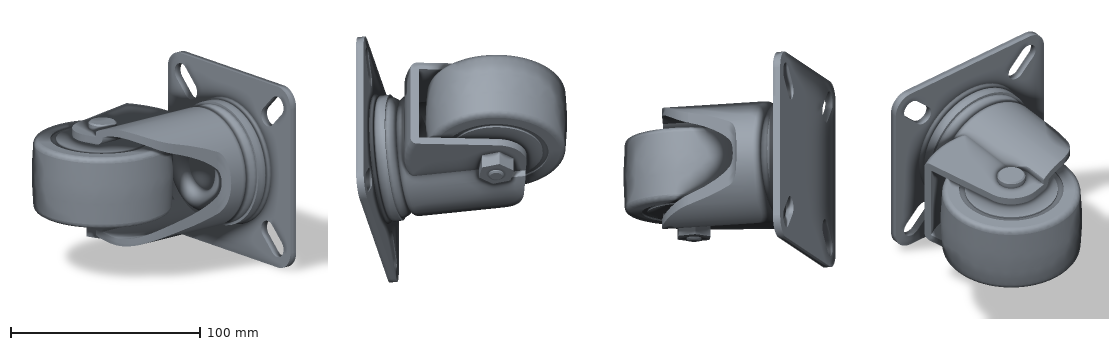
import cadquery as cq
import math


sheet = 4.0
axle_x = -25.0
axle_depth = 70.7
stem_radius = 24.6

plate_size = 100.0
plate_corner_radius = 10.0
slot_radius = 5.3
slot_inner = 31.5
slot_outer = 39.1
boss_radius = 34.4
boss_height = 1.8
boss_rounding = 1.7
flare_centre_radius = 18.4

cap_gap = 0.5
cap_radius = 33.5
cap_sheet = 1.3
cap_height = 6.0

tube_radius = 32.0
neck_radius = 28.7
neck_depth = 17.4
head_straight_depth = 12.3
tube_top_depth = neck_depth + sheet
tube_shoulder_depth = 29.8
shoulder_radius = 8.0

cheek_end_radius = 16.1
front_lean = 12.9
rear_lean = 15.5
foot_slope = 14.7
rear_edge_x = 27.0
rear_edge_depth = 35.3
heel_radius = 30.0

cheek_outer = 25.5
cheek_inner = cheek_outer - sheet
web_inner_radius = 44.6
web_outer_radius = web_inner_radius + sheet
bend_radius = 3.4

recess_half_width = 10.9
recess_bend_radius = 8.0
recess_bend_drop = 1.3
recess_lean = 33.7
recess_upper_length = 11.2
recess_wall = 2.2
recess_flare = 2.5
recess_reach = 6.7

wheel_radius = 37.4
wheel_edge_radius = 36.4
wheel_half_width = 19.6
wheel_rounding = 2.9
groove_outer_radius = 27.7
groove_inner_radius = 24.6
groove_depth = 1.0

shank_radius = 5.0
thread_radius = 4.0
tip_length = 1.5
tip_chamfer = 0.8
head_radius = 7.4
head_height = 3.6
head_chamfer = 0.8
nut_height = 7.6
nut_across_flats = 17.0
nut_turn = 21.0

large = 224.8


def disc(radius, start_depth, end_depth):
    """Cylinder about the swivel axis between two depths."""
    plane = cq.Workplane("XZ").workplane(offset=start_depth)
    return plane.circle(radius).extrude(end_depth - start_depth)


def axle_cylinder(radius, start_z, end_z):
    """Cylinder about the wheel axle between two Z levels."""
    plane = cq.Workplane("XY", origin=(axle_x, -axle_depth, start_z))
    return plane.circle(radius).extrude(end_z - start_z)


def mirrored_pair(shape):
    """A shape together with its mirror image across the middle plane."""
    return shape.union(shape.mirror("XY"))


def make_plate():
    plate = cq.Workplane("XZ").rect(plate_size, plate_size).extrude(sheet)
    plate = plate.edges("|Y").fillet(plate_corner_radius)

    slot_middle = (slot_inner + slot_outer) / 2
    slot_length = math.sqrt(2) * (slot_outer - slot_inner) + 2 * slot_radius
    for side_x in (-1, 1):
        for side_z in (-1, 1):
            slot = (
                cq.Workplane("XZ")
                .center(side_x * slot_middle, side_z * slot_middle)
                .slot2D(slot_length, 2 * slot_radius, 45 * side_x * side_z)
                .extrude(sheet)
            )
            plate = plate.cut(slot)

    boss = disc(boss_radius, sheet, sheet + boss_height).faces("<Y").edges().fillet(boss_rounding)
    stem = disc(stem_radius, sheet, tube_top_depth)
    flare = cq.Workplane(
        cq.Solid.makeTorus(
            flare_centre_radius,
            stem_radius - flare_centre_radius,
            cq.Vector(0, -tube_top_depth, 0),
            cq.Vector(0, 1, 0),
        )
    )
    return plate.union(boss).union(stem).union(flare)


def make_dust_cap():
    cap_top = sheet + boss_height + cap_gap
    cap = disc(cap_radius, cap_top, cap_top + cap_height)
    cap = cap.faces(">Y").edges().fillet(cap_sheet)
    cap = cap.cut(disc(tube_radius, cap_top + cap_sheet, cap_top + cap_height))
    return cap.cut(disc(stem_radius, cap_top, cap_top + cap_height))


def line_crossing(point_a, direction_a, point_b, direction_b):
    """Point where two straight lines cross."""
    across = direction_a[0] * direction_b[1] - direction_a[1] * direction_b[0]
    gap_x = point_b[0] - point_a[0]
    gap_y = point_b[1] - point_a[1]
    along = (gap_x * direction_b[1] - gap_y * direction_b[0]) / across
    return point_a[0] + along * direction_a[0], point_a[1] + along * direction_a[1]


def make_side_outline():
    """Prism across the full width with the fork's side outline."""
    front = math.radians(front_lean)
    rear = math.radians(rear_lean)
    foot = math.radians(foot_slope)
    front_direction = (math.sin(front), -math.cos(front))
    rear_direction = (-math.sin(rear), -math.cos(rear))
    foot_direction = (math.cos(foot), math.sin(foot))

    front_tangent = (
        axle_x - cheek_end_radius * math.cos(front),
        -axle_depth - cheek_end_radius * math.sin(front),
    )
    foot_tangent = (
        axle_x + cheek_end_radius * math.sin(foot),
        -axle_depth - cheek_end_radius * math.cos(foot),
    )
    rear_start = (rear_edge_x, -rear_edge_depth)

    front_top = line_crossing(front_tangent, front_direction, (0, -tube_top_depth), (1, 0))
    toe = line_crossing(front_tangent, front_direction, foot_tangent, foot_direction)
    heel = line_crossing(rear_start, rear_direction, foot_tangent, foot_direction)

    prism = (
        cq.Workplane("XY")
        .moveTo(*front_top)
        .lineTo(tube_radius, -tube_top_depth)
        .lineTo(tube_radius, -tube_shoulder_depth)
        .radiusArc(rear_start, -shoulder_radius)
        .lineTo(*heel)
        .lineTo(*toe)
        .close()
        .extrude(large / 2, both=True)
    )
    prism = prism.edges(cq.selectors.NearestToPointSelector((*heel, 0))).fillet(heel_radius)
    return prism.edges(cq.selectors.NearestToPointSelector((*toe, 0))).fillet(cheek_end_radius)


def make_fork_head():
    """Domed head and waisted neck above the tube."""
    head_top = sheet + boss_height + cap_gap + cap_sheet
    waist = tube_radius - neck_radius
    dome_drop = neck_depth - head_straight_depth
    dome_radius = (dome_drop**2 + waist**2) / (2 * waist)
    neck_drop = tube_top_depth - neck_depth
    neck_curve_radius = (neck_drop**2 + waist**2) / (2 * waist)
    return (
        cq.Workplane("XY")
        .moveTo(0, -head_top)
        .lineTo(tube_radius, -head_top)
        .lineTo(tube_radius, -head_straight_depth)
        .radiusArc((neck_radius, -neck_depth), dome_radius)
        .radiusArc((tube_radius, -tube_top_depth), neck_curve_radius)
        .lineTo(0, -tube_top_depth)
        .close()
        .revolve(360, (0, 0, 0), (0, 1, 0))
    )


def recess_path():
    """Wall line of the recesses: up past the axle, then bending away over it."""
    lean = math.radians(recess_lean)
    bend_start = (axle_x + recess_half_width, -axle_depth - recess_bend_drop)
    bend_centre_x = bend_start[0] - recess_bend_radius
    bend_points = [
        (
            bend_centre_x + recess_bend_radius * math.cos(angle),
            bend_start[1] + recess_bend_radius * math.sin(angle),
        )
        for angle in (lean / 2, lean)
    ]
    return (
        cq.Workplane("XY")
        .moveTo(bend_start[0], -axle_depth - wheel_radius)
        .lineTo(*bend_start)
        .threePointArc(*bend_points)
        .line(-recess_upper_length * math.sin(lean), recess_upper_length * math.cos(lean))
    )


def recess_section_plane():
    """Section plane at the lower end of the recess wall; its X runs away from the wall line."""
    return cq.Workplane("XZ", origin=(axle_x + recess_half_width, -axle_depth - wheel_radius, 0))


def make_recess():
    """Cutter with a flared wall for the flat around the axle on the +Z cheek."""
    wall_top = cheek_outer + recess_wall
    flare_top = wall_top + recess_flare
    corner = recess_flare * (1 - math.sqrt(0.5))
    return (
        recess_section_plane()
        .moveTo(-recess_reach, cheek_outer)
        .lineTo(0, cheek_outer)
        .lineTo(0, wall_top)
        .threePointArc((corner, flare_top - corner), (recess_flare, flare_top))
        .lineTo(recess_flare, flare_top + sheet)
        .lineTo(-recess_reach, flare_top + sheet)
        .close()
        .sweep(recess_path())
    )


def make_recess_backing():
    """Sheet that stays behind the +Z recess where the tube is hollow."""
    return (
        recess_section_plane()
        .moveTo(-recess_reach, cheek_inner)
        .lineTo(0, cheek_inner)
        .radiusArc((sheet, cheek_outer), -sheet)
        .lineTo(sheet, tube_radius)
        .lineTo(-recess_reach, tube_radius)
        .close()
        .sweep(recess_path())
    )


def make_fork():
    outline = make_side_outline()
    bottom_depth = axle_depth + wheel_radius

    tube = disc(tube_radius, tube_top_depth, bottom_depth).intersect(outline)
    tube = tube.cut(mirrored_pair(make_recess()))

    channel = axle_cylinder(web_outer_radius, -cheek_outer, cheek_outer)
    channel = channel.edges("%CIRCLE").fillet(bend_radius)
    behind_axis = cq.Workplane("XY").box(large, large, large).translate((-large / 2, 0, 0))
    channel = channel.intersect(outline).intersect(behind_axis)

    wheel_well = axle_cylinder(web_inner_radius, -cheek_inner, cheek_inner)
    wheel_well = wheel_well.intersect(behind_axis)
    tube_bore = disc(tube_radius - sheet, tube_top_depth, bottom_depth)
    tube_bore = tube_bore.cut(mirrored_pair(make_recess_backing()))

    fork = make_fork_head().union(tube).union(channel)
    fork = fork.cut(wheel_well).cut(tube_bore)
    fork = fork.cut(disc(stem_radius, 0, tube_top_depth))
    return fork.cut(axle_cylinder(shank_radius, -cheek_outer, cheek_outer))


def make_wheel():
    tread = (
        cq.Workplane("XZ", origin=(axle_x, -axle_depth, 0))
        .moveTo(shank_radius, -wheel_half_width)
        .lineTo(wheel_edge_radius, -wheel_half_width)
        .threePointArc((wheel_radius, 0), (wheel_edge_radius, wheel_half_width))
        .lineTo(shank_radius, wheel_half_width)
        .close()
        .revolve(360, (0, 0, 0), (0, 1, 0))
    )
    outer_edges = cq.selectors.RadiusNthSelector(-1)
    wheel = tread.faces("<Z or >Z").edges(outer_edges).fillet(wheel_rounding)
    groove_floor = wheel_half_width - groove_depth
    groove = axle_cylinder(groove_outer_radius, groove_floor, wheel_half_width)
    groove = groove.cut(axle_cylinder(groove_inner_radius, groove_floor, wheel_half_width))
    return wheel.cut(mirrored_pair(groove))


def make_bolt():
    head = axle_cylinder(head_radius, cheek_outer, cheek_outer + head_height)
    head = head.faces(">Z").edges().chamfer(head_chamfer)
    shank = axle_cylinder(shank_radius, -cheek_outer, cheek_outer)
    thread = axle_cylinder(thread_radius, -cheek_outer - nut_height - tip_length, -cheek_outer)
    thread = thread.faces("<Z").edges().chamfer(tip_chamfer)
    return head.union(shank).union(thread)


def make_nut():
    across_corners = nut_across_flats / math.cos(math.radians(30))
    return (
        cq.Workplane("XY", origin=(axle_x, -axle_depth, -cheek_outer - nut_height))
        .transformed(rotate=(0, 0, nut_turn))
        .polygon(6, across_corners)
        .circle(thread_radius)
        .extrude(nut_height)
    )


plate = make_plate()
dust_cap = make_dust_cap()
fork = make_fork()
wheel = make_wheel()
bolt = make_bolt()
nut = make_nut()

result = cq.Compound.makeCompound(
    [plate.val(), dust_cap.val(), fork.val(), wheel.val(), bolt.val(), nut.val()]
)